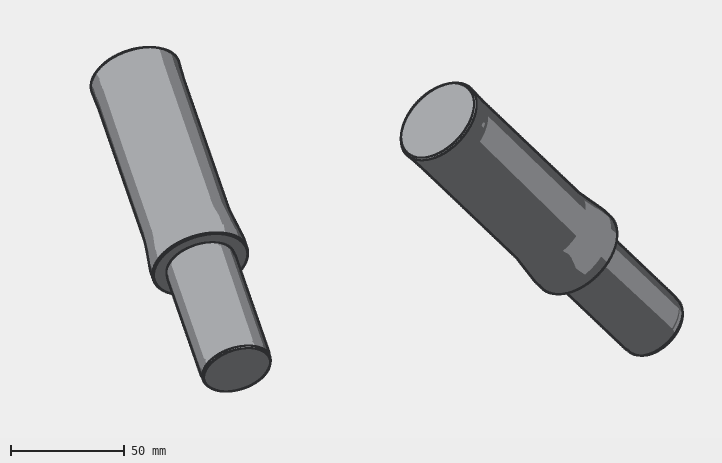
import cadquery as cq

TOTAL_LENGTH = 169.0

BARREL_RADIUS = 40.0 / 2
COLLAR_RADIUS = 44.0 / 2
LIP_RADIUS = 20.5
NOSE_FACE_RADIUS = 19.6
NOSE_CROWN_HEIGHT = 0.8
LIP_X = 1.7
LIP_TAPER_END_X = 9.8
BARREL_START_X = 11.5
BARREL_BLEND_RADIUS = 20.1
FLARE_START_X = 87.0
FLARE_END_X = 103.8
COLLAR_END_X = 109.0
COLLAR_CHAMFER = 0.5

DIMPLE_RADIUS = 20.6 / 2
DIMPLE_DEPTH = 0.8

SHANK_RADIUS = 32.0 / 2
NECK_RADIUS = 31.5 / 2
NECK_LENGTH = 1.0
NECK_TAPER_LENGTH = 1.0
TIP_TAPER_START_X = 165.0
TIP_TAPER_LENGTH = 1.0
TIP_CHAMFER_LENGTH = 1.0
TIP_CHAMFER_DEPTH = 0.5


def revolve_about_x(profile):
    """Turn a closed half profile in the XY plane into a solid about X."""
    return profile.close().revolve(360, (0, 0, 0), (1, 0, 0))


def make_handle():
    profile = (
        cq.Workplane("XY")
        .moveTo(DIMPLE_DEPTH, 0)
        .lineTo(0, DIMPLE_RADIUS)
        .lineTo(NOSE_CROWN_HEIGHT, NOSE_FACE_RADIUS)
        .lineTo(LIP_X, LIP_RADIUS)
        .lineTo(LIP_TAPER_END_X, BARREL_BLEND_RADIUS)
        .lineTo(BARREL_START_X, BARREL_RADIUS)
        .lineTo(FLARE_START_X, BARREL_RADIUS)
        .lineTo(FLARE_END_X, COLLAR_RADIUS)
        .lineTo(COLLAR_END_X - COLLAR_CHAMFER, COLLAR_RADIUS)
        .lineTo(COLLAR_END_X, COLLAR_RADIUS - COLLAR_CHAMFER)
        .lineTo(COLLAR_END_X, 0)
    )
    return revolve_about_x(profile)


def make_shank():
    neck_end_x = COLLAR_END_X + NECK_LENGTH
    profile = (
        cq.Workplane("XY")
        .moveTo(COLLAR_END_X, 0)
        .lineTo(COLLAR_END_X, NECK_RADIUS)
        .lineTo(neck_end_x, NECK_RADIUS)
        .lineTo(neck_end_x + NECK_TAPER_LENGTH, SHANK_RADIUS)
        .lineTo(TIP_TAPER_START_X, SHANK_RADIUS)
        .lineTo(TIP_TAPER_START_X + TIP_TAPER_LENGTH, NECK_RADIUS)
        .lineTo(TOTAL_LENGTH - TIP_CHAMFER_LENGTH, NECK_RADIUS)
        .lineTo(TOTAL_LENGTH, NECK_RADIUS - TIP_CHAMFER_DEPTH)
        .lineTo(TOTAL_LENGTH, 0)
    )
    return revolve_about_x(profile)


handle = make_handle()
shank = make_shank()

result = cq.Compound.makeCompound([handle.val(), shank.val()])